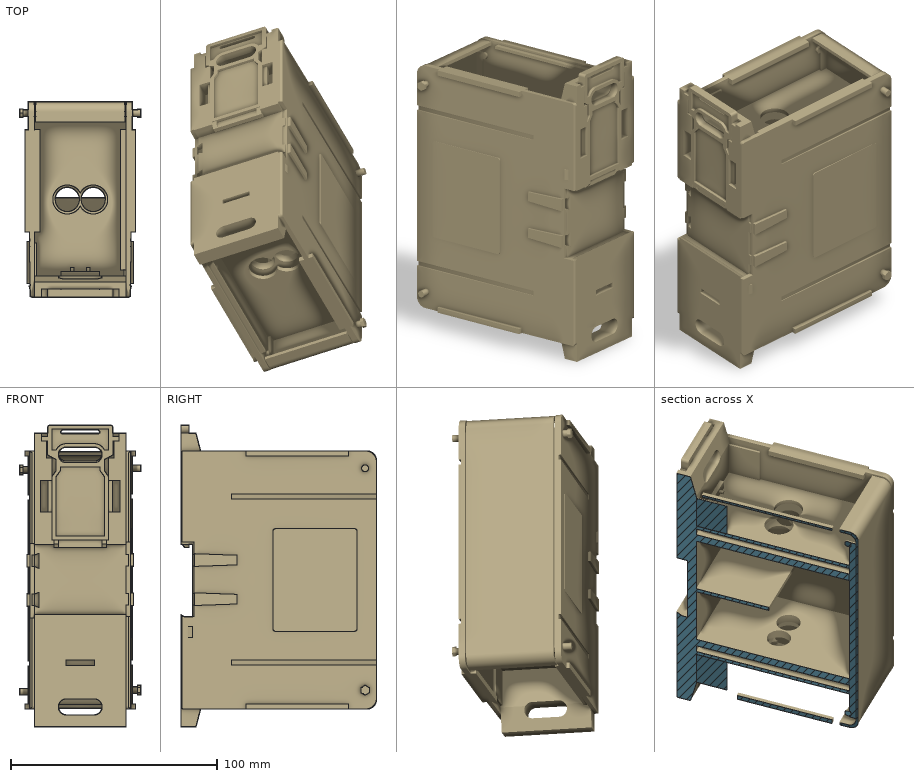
import cadquery as cq
CASE_DEPTH = 95.0
HALF_WIDTH = 22.3
PANEL_HALF_HEIGHT = 62.7
FOOT_HALF_HEIGHT = 71.33

WALL_DEPTH = 10.4
FOOT_TIP_DEPTH = 7.3
FOOT_SLOPE_START = 59.5
RAIL_TOP = 17.3
RAIL_BOTTOM = -18.5
RAIL_RECESS = 5.5
LIP_HEIGHT = 1.6
LIP_DEPTH = 3

SLOT_LENGTH = 21.1
SLOT_HEIGHT = 7.8
SLOT_Z = 61.5
MARK_WIDTH = 14.0
MARK_HEIGHT = 2.8
MARK_DEPTH = 4.4
MARK_Z = -40.2

FLOOR_Z = 41
FLOOR_THICKNESS = 2.2
SHELF_DROP = 5.5
SHELF_THICKNESS = 4.4
HOLE_SPACING = 12.6
HOLE_Y = CASE_DEPTH / 2
FLOOR_HOLE_RADIUS = 7.0
SHELF_HOLE_RADIUS = 5.9
DIVIDER_THICKNESS = 2.2
DIVIDER_FRONT = 48.4

STOP_WIDTH = 18.8
STOP_DEPTH = 2.0
STOP_HEIGHT = 4.4
NUB_RADIUS = 0.9
NUB_LENGTH = 2.0
NUB_SPACING = 7.9

LATCH_DEPTH = 4.0
LATCH_TOP = 75.23
LATCH_BOTTOM = 19.3
LATCH_HALF_WIDTH = 13.8
HEAD_HALF_WIDTH = 15.8
HEAD_BOTTOM = 60.7
HEAD_CORNER_RADIUS = 1.3
HEAD_GAP = 0.6
HEAD_SEAT_BOTTOM = 59.2
NECK_HALF_WIDTH = 11.7
NECK_TOP = 58.5
NECK_BOTTOM = 53.0
BODY_SHOULDER = 50.1
ARM_HALF_WIDTH = 18.9
ARM_TOP = 69.8
ARM_BOTTOM = 67.5
GUIDE_TOP = 48.2
GUIDE_BOTTOM = 33.1
GUIDE_HALF_WIDTH = 15.7
GUIDE_INSET = 1.8
WINDOW_HALF_WIDTH = 19.3
WINDOW_DEPTH = 7.3
HOOK_TIP = 15.7
HOOK_HALF_WIDTH = 10.5
HOOK_RAMP_HALF_WIDTH = 12.8
HOOK_TIP_INSET = 1.8
HOOK_RAMP_INSET = 0.5
HOOK_RAMP_TOP = 17.6
FACE_RECESS = 1.5
FRAME_HALF_WIDTH = 11.7
FRAME_TOP_HALF_WIDTH = 9.7
FRAME_TOP = 54.8
FRAME_BOTTOM = 21.4
GRIP_TOP = 73.3
GRIP_BOTTOM = 63.2
GRIP_RIM = 1.8
GRIP_SLOT_Z = 60.7
GRIP_SLOT_HEIGHT = 7.5
THIN_SLOT_LENGTH = 18.8
THIN_SLOT_HEIGHT = 2.0
THIN_SLOT_Z = 71.8

PANEL_REAR_X = 24.3
PANEL_FRONT_X = 25.4
PANEL_EDGE_X = 23.3
PANEL_EDGE_SLOPE = 0.5
PANEL_RAIL_RECESS = 6.3
PANEL_RAIL_TOP = 17.7
PANEL_FRONT_RADIUS = 5.0
PANEL_REAR_RADIUS = 1.5
GROOVE_FLOOR_X = 24.25
GROOVE_END = 24.6
GROOVE_HEIGHT = 2.5
GROOVE_CENTERS = (40.0, -40.6)
PAD_X = 25.4
PAD_REAR = 44.7
PAD_FRONT = 85.5
PAD_HALF_HEIGHT = 24.9
PAD_RADIUS = 1.2
LEDGE_X = 26.8
LEDGE_INNER_X = 19.6
LEDGE_REAR = 31.7
LEDGE_FRONT = 81.3
LEDGE_THICKNESS = 2.6
STRIP_REAR = 13.3
STRIP_INSET = 1.2
STRIP_THICKNESS = 1.5
CORNER_RIB_X = 20.8
CORNER_RIB_REAR = 90.1
CORNER_RIB_HALF_HEIGHT = 55.7
END_PAD_X = 21.3
END_PAD_FRONT = 26.4
END_PAD_TOP = 58.6
BUMP_HEIGHT = 0.6
BUMP_TOP = 28.0
BUMP_BOTTOM = 22.5
BUMP_REAR = 3.5
BUMP_FRONT = 5.5

DOVETAIL_CENTERS = (9.3, -9.7)
TENON_X = 25.87
TENON_REAR = 6.6
TENON_FRONT = 27.1
TENON_REAR_HALF_HEIGHT = 3.1
TENON_FRONT_HALF_HEIGHT = 2.3
MORTISE_X = 20.1
MORTISE_HALF_MOUTH = 2.8
MORTISE_HALF_FLOOR = 3.7
MORTISE_DEPTH = 3
TONGUE_X = 23.5

COVER_HALF_WIDTH = 21.62
COVER_HALF_HEIGHT = 62.3
COVER_WALL = 1.5
COVER_FLANGE = 1.8
COVER_FLANGE_REAR = 85.2
COVER_OUTER_RADIUS = 4.8
COVER_INNER_RADIUS = 4.0

PIN_Y = 89.4
PIN_RADIUS = 1.69
PIN_TIP_X = 29.5
PIN_INNER_X = 21.0
HEADED_PIN_Z = 53.5
PLAIN_PIN_Z = -54.2
PIN_HEAD_DIAMETER = 4.8
PIN_HEAD_LENGTH = 1.8


def block(x1, x2, y1, y2, z1, z2):
    """Box between two opposite corners."""
    return cq.Workplane("XY").box(x2 - x1, y2 - y1, z2 - z1, centered=False).translate((x1, y1, z1))


def wide_block(half_width, y1, y2, z1, z2):
    """Box centred on x = 0."""
    return block(-half_width, half_width, y1, y2, z1, z2)


def extrude_x(sketch, x1, x2):
    """Extrude an outline drawn on the YZ plane from x1 to x2."""
    return sketch.extrude(x2 - x1).translate((x1, 0, 0))


def extrude_y(sketch, y1, y2):
    """Extrude an outline drawn on the XZ plane from y1 to y2."""
    return sketch.extrude(-(y2 - y1)).translate((0, y1, 0))


def slot_cutter(length, height, z, y1, y2):
    """Round-ended slot along X, cut in the Y direction."""
    return extrude_y(cq.Workplane("XZ").center(0, z).slot2D(length, height), y1, y2)


def half_turn(body):
    """The same body turned half way round the case's Y axis."""
    return body.rotate((0, 0, 0), (0, 1, 0), 180)


def rail_wall():
    outline = [
        (0, FOOT_HALF_HEIGHT),
        (FOOT_TIP_DEPTH, FOOT_HALF_HEIGHT),
        (WALL_DEPTH, FOOT_SLOPE_START),
        (WALL_DEPTH, -FOOT_SLOPE_START),
        (FOOT_TIP_DEPTH, -FOOT_HALF_HEIGHT),
        (0, -FOOT_HALF_HEIGHT),
        (0, RAIL_BOTTOM + LIP_HEIGHT),
        (LIP_DEPTH, RAIL_BOTTOM),
        (RAIL_RECESS, RAIL_BOTTOM),
        (RAIL_RECESS, RAIL_TOP),
        (0, RAIL_TOP),
    ]
    wall = extrude_x(cq.Workplane("YZ").polyline(outline).close(), -HALF_WIDTH, HALF_WIDTH)
    for z in (SLOT_Z, -SLOT_Z):
        wall = wall.cut(slot_cutter(SLOT_LENGTH, SLOT_HEIGHT, z, 0, WALL_DEPTH))
    half_mark = MARK_HEIGHT / 2
    return wall.cut(wide_block(MARK_WIDTH / 2, 0, MARK_DEPTH, MARK_Z - half_mark, MARK_Z + half_mark))


def plate_with_holes(top, thickness, hole_radius):
    front = CASE_DEPTH - COVER_WALL
    plate = wide_block(HALF_WIDTH, WALL_DEPTH, front, top - thickness, top)
    for side in (-1, 1):
        center = (side * HOLE_SPACING / 2, HOLE_Y)
        hole = cq.Workplane("XY").center(*center).circle(hole_radius).extrude(thickness)
        plate = plate.cut(hole.translate((0, 0, top - thickness)))
    return plate


def compartment_floor():
    floor = plate_with_holes(FLOOR_Z, FLOOR_THICKNESS, FLOOR_HOLE_RADIUS)
    return floor.union(plate_with_holes(FLOOR_Z - SHELF_DROP, SHELF_THICKNESS, SHELF_HOLE_RADIUS))


def spring_stop():
    front = WALL_DEPTH + STOP_DEPTH
    stop = wide_block(STOP_WIDTH / 2, WALL_DEPTH, front, FLOOR_Z, FLOOR_Z + STOP_HEIGHT)
    for side in (-1, 1):
        nub = cq.Workplane("XZ").center(side * NUB_SPACING / 2, FLOOR_Z + STOP_HEIGHT / 2).circle(NUB_RADIUS)
        stop = stop.union(extrude_y(nub, front, front + NUB_LENGTH))
    return stop


def latch_seat():
    """Space in the rail wall that the latch slides into."""
    top = FOOT_HALF_HEIGHT
    seat = wide_block(LATCH_HALF_WIDTH, 0, LATCH_DEPTH, LATCH_BOTTOM, top)
    seat = seat.union(wide_block(HEAD_HALF_WIDTH + HEAD_GAP, 0, LATCH_DEPTH, HEAD_SEAT_BOTTOM, top))
    seat = seat.union(wide_block(ARM_HALF_WIDTH, 0, LATCH_DEPTH, ARM_BOTTOM, top))
    seat = seat.union(wide_block(HOOK_RAMP_HALF_WIDTH, 0, LATCH_DEPTH, RAIL_TOP, LATCH_BOTTOM))
    for side in (-1, 1):
        x1, x2 = sorted((side * LATCH_HALF_WIDTH, side * WINDOW_HALF_WIDTH))
        seat = seat.union(block(x1, x2, 0, WINDOW_DEPTH, GUIDE_BOTTOM, GUIDE_TOP))
    return seat


def mortise(z):
    outline = [
        (-HALF_WIDTH, z - MORTISE_HALF_MOUTH),
        (-MORTISE_X, z - MORTISE_HALF_FLOOR),
        (-MORTISE_X, z + MORTISE_HALF_FLOOR),
        (-HALF_WIDTH, z + MORTISE_HALF_MOUTH),
    ]
    return extrude_y(cq.Workplane("XZ").polyline(outline).close(), RAIL_RECESS, RAIL_RECESS + MORTISE_DEPTH)


def panel_notch(z):
    """Notch in the left panel's rail edge beside a dovetail."""
    end = RAIL_RECESS + MORTISE_DEPTH
    return block(-TONGUE_X, -HALF_WIDTH, RAIL_RECESS, end, z - MORTISE_HALF_MOUTH, z + MORTISE_HALF_MOUTH)


def make_housing():
    half_divider = DIVIDER_THICKNESS / 2
    body = rail_wall().cut(latch_seat())
    body = body.union(compartment_floor()).union(half_turn(compartment_floor()))
    body = body.union(wide_block(HALF_WIDTH, WALL_DEPTH, DIVIDER_FRONT, -half_divider, half_divider))
    body = body.union(spring_stop())
    for z in DOVETAIL_CENTERS:
        body = body.cut(mortise(z)).union(half_turn(panel_notch(z)))
    for side in (-1, 1):
        x1, x2 = sorted((side * CORNER_RIB_X, side * HALF_WIDTH))
        body = body.cut(block(x1, x2, CORNER_RIB_REAR, CASE_DEPTH, -FLOOR_Z, FLOOR_Z))
    return body


def latch_plate():
    right_side = [
        (HEAD_HALF_WIDTH, LATCH_TOP),
        (HEAD_HALF_WIDTH, HEAD_BOTTOM),
        (NECK_HALF_WIDTH, NECK_TOP),
        (NECK_HALF_WIDTH, NECK_BOTTOM),
        (LATCH_HALF_WIDTH, BODY_SHOULDER),
        (LATCH_HALF_WIDTH, LATCH_BOTTOM),
    ]
    left_side = [(-x, z) for x, z in reversed(right_side)]
    plate = extrude_y(cq.Workplane("XZ").polyline(right_side + left_side).close(), 0, LATCH_DEPTH)
    plate = plate.edges("|Y and >Z").fillet(HEAD_CORNER_RADIUS)
    arms = wide_block(ARM_HALF_WIDTH, 0, LATCH_DEPTH, ARM_BOTTOM, ARM_TOP)
    guides = wide_block(GUIDE_HALF_WIDTH, GUIDE_INSET, LATCH_DEPTH, GUIDE_BOTTOM, GUIDE_TOP)
    return plate.union(arms).union(guides)


def latch_hook():
    """Tab that holds the rail, set back in the middle with a ramp at each side."""
    outline = [
        (HOOK_RAMP_INSET, LATCH_BOTTOM),
        (HOOK_RAMP_INSET, HOOK_RAMP_TOP),
        (HOOK_TIP_INSET, HOOK_TIP),
        (LATCH_DEPTH, HOOK_TIP),
        (LATCH_DEPTH, LATCH_BOTTOM),
    ]
    profile = cq.Workplane("YZ").polyline(outline).close()
    hook = extrude_x(profile, -HOOK_RAMP_HALF_WIDTH, HOOK_RAMP_HALF_WIDTH)
    return hook.cut(wide_block(HOOK_HALF_WIDTH, 0, HOOK_TIP_INSET, HOOK_TIP, LATCH_BOTTOM))


def latch_frame_recess():
    right_side = [
        (FRAME_TOP_HALF_WIDTH, FRAME_TOP),
        (FRAME_TOP_HALF_WIDTH, NECK_BOTTOM),
        (FRAME_HALF_WIDTH, BODY_SHOULDER),
        (FRAME_HALF_WIDTH, FRAME_BOTTOM),
    ]
    left_side = [(-x, z) for x, z in reversed(right_side)]
    return extrude_y(cq.Workplane("XZ").polyline(right_side + left_side).close(), 0, FACE_RECESS)


def latch_grip_recess():
    """Recess above the grip slot, stopping at a raised rim round the slot."""
    recess = wide_block(LATCH_HALF_WIDTH, 0, FACE_RECESS, GRIP_BOTTOM, GRIP_TOP)
    rim_length = SLOT_LENGTH + 2 * GRIP_RIM
    rim_height = GRIP_SLOT_HEIGHT + 2 * GRIP_RIM
    return recess.cut(slot_cutter(rim_length, rim_height, GRIP_SLOT_Z, 0, FACE_RECESS))


def make_latch():
    body = latch_plate().union(latch_hook())
    body = body.cut(latch_frame_recess()).cut(latch_grip_recess())
    body = body.cut(slot_cutter(SLOT_LENGTH, GRIP_SLOT_HEIGHT, GRIP_SLOT_Z, 0, LATCH_DEPTH))
    return body.cut(slot_cutter(THIN_SLOT_LENGTH, THIN_SLOT_HEIGHT, THIN_SLOT_Z, 0, LATCH_DEPTH))


def panel_plate():
    section = [
        (-HALF_WIDTH, 0),
        (-HALF_WIDTH, CASE_DEPTH),
        (-PANEL_FRONT_X, CASE_DEPTH),
        (-PANEL_REAR_X, PANEL_EDGE_SLOPE),
        (-PANEL_EDGE_X, 0),
    ]
    plate = cq.Workplane("XY").polyline(section).close().extrude(2 * PANEL_HALF_HEIGHT)
    plate = plate.translate((0, 0, -PANEL_HALF_HEIGHT))
    side = block(-PANEL_FRONT_X, -HALF_WIDTH, 0, CASE_DEPTH, -PANEL_HALF_HEIGHT, PANEL_HALF_HEIGHT)
    side = side.edges("|X and >Y").fillet(PANEL_FRONT_RADIUS)
    side = side.edges("|X and <Y").fillet(PANEL_REAR_RADIUS)
    rail = block(-PANEL_FRONT_X, -HALF_WIDTH, 0, PANEL_RAIL_RECESS, RAIL_BOTTOM, PANEL_RAIL_TOP)
    return plate.intersect(side).cut(rail)


def panel_tenon(z):
    outline = [
        (TENON_REAR, z - TENON_REAR_HALF_HEIGHT),
        (TENON_REAR, z + TENON_REAR_HALF_HEIGHT),
        (TENON_FRONT, z + TENON_FRONT_HALF_HEIGHT),
        (TENON_FRONT, z - TENON_FRONT_HALF_HEIGHT),
    ]
    return extrude_x(cq.Workplane("YZ").polyline(outline).close(), -TENON_X, -HALF_WIDTH)


def panel_pad():
    pad = block(-PAD_X, -HALF_WIDTH, PAD_REAR, PAD_FRONT, -PAD_HALF_HEIGHT, PAD_HALF_HEIGHT)
    return pad.edges("|X").fillet(PAD_RADIUS)


def panel_end_features():
    """Ledges and stiffeners along the top and bottom edges of the panel."""
    end = PANEL_HALF_HEIGHT
    ledge_bottom = end - LEDGE_THICKNESS
    strip_bottom = -end + STRIP_INSET
    features = block(-LEDGE_X, -LEDGE_INNER_X, LEDGE_REAR, LEDGE_FRONT, ledge_bottom, end)
    features = features.union(block(-LEDGE_X, -HALF_WIDTH, LEDGE_REAR, LEDGE_FRONT, -end, -ledge_bottom))
    strip_top = strip_bottom + STRIP_THICKNESS
    strip = block(-HALF_WIDTH, -LEDGE_INNER_X, STRIP_REAR, LEDGE_FRONT, strip_bottom, strip_top)
    features = features.union(strip)
    for z1, z2 in ((FLOOR_Z, END_PAD_TOP), (-END_PAD_TOP, -FLOOR_Z)):
        features = features.union(block(-HALF_WIDTH, -END_PAD_X, WALL_DEPTH, END_PAD_FRONT, z1, z2))
    return features


def panel_bump():
    """Small snap wedge on the outer face beside the latch."""
    section = [
        (-HALF_WIDTH, BUMP_REAR),
        (-PANEL_REAR_X, BUMP_REAR),
        (-PANEL_REAR_X - BUMP_HEIGHT, BUMP_FRONT),
        (-HALF_WIDTH, BUMP_FRONT),
    ]
    wedge = cq.Workplane("XY").polyline(section).close().extrude(BUMP_TOP - BUMP_BOTTOM)
    return wedge.translate((0, 0, BUMP_BOTTOM))


def pin_shaft(z):
    return extrude_x(cq.Workplane("YZ").center(PIN_Y, z).circle(PIN_RADIUS), -PIN_TIP_X, -PIN_INNER_X)


def make_panel():
    """Left panel; the right one is its half turn."""
    body = panel_plate().union(panel_pad()).union(panel_end_features()).union(panel_bump())
    rib_half = CORNER_RIB_HALF_HEIGHT
    rib_front = CASE_DEPTH - COVER_WALL
    body = body.union(block(-HALF_WIDTH, -CORNER_RIB_X, CORNER_RIB_REAR, rib_front, -rib_half, rib_half))
    for z in DOVETAIL_CENTERS:
        body = body.union(panel_tenon(z)).cut(panel_notch(z))
    for z in GROOVE_CENTERS:
        half = GROOVE_HEIGHT / 2
        body = body.cut(block(-PANEL_FRONT_X, -GROOVE_FLOOR_X, GROOVE_END, CASE_DEPTH, z - half, z + half))
    for z in (HEADED_PIN_Z, PLAIN_PIN_Z):
        body = body.cut(pin_shaft(z))
    return body


def make_cover():
    width = (-COVER_HALF_WIDTH, COVER_HALF_WIDTH)
    half = COVER_HALF_HEIGHT
    inner_half = half - COVER_FLANGE
    inner_front = CASE_DEPTH - COVER_WALL
    outside = block(*width, COVER_FLANGE_REAR, CASE_DEPTH, -half, half)
    outside = outside.edges("|X and >Y").fillet(COVER_OUTER_RADIUS)
    inside = block(*width, COVER_FLANGE_REAR, inner_front, -inner_half, inner_half)
    return outside.cut(inside.edges("|X and >Y").fillet(COVER_INNER_RADIUS))


def make_headed_pin():
    """Pin with a hexagonal head at its outer end."""
    head = cq.Workplane("YZ").center(PIN_Y, HEADED_PIN_Z).transformed(rotate=(0, 0, 90))
    head = head.polygon(6, PIN_HEAD_DIAMETER)
    return pin_shaft(HEADED_PIN_Z).union(extrude_x(head, -PIN_TIP_X, -PIN_TIP_X + PIN_HEAD_LENGTH))


def make_plain_pin():
    return pin_shaft(PLAIN_PIN_Z)


housing = make_housing()
latch = make_latch()
cover = make_cover()

side_bodies = []
for make_body in (make_panel, make_headed_pin, make_plain_pin):
    left_body = make_body()
    side_bodies += [left_body.val(), half_turn(left_body).val()]

result = cq.Compound.makeCompound([housing.val(), latch.val(), cover.val(), *side_bodies])